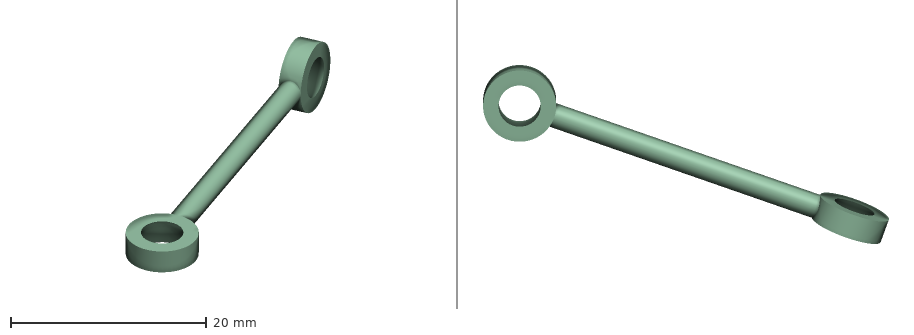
import cadquery as cq

overall_length = 43.5
eye_diameter = 7.5
eye_width = 2.5
rod_diameter = 2.5
ball_diameter = 5.0

centre_distance = overall_length - eye_diameter

rod_end_offset = (eye_diameter + ball_diameter) / 4
rod_length = centre_distance - 2 * rod_end_offset


def rod():
    """Round rod along Y, reaching into the wall of both eyes."""
    profile = cq.Workplane("XZ", origin=(0, rod_end_offset, 0)).circle(rod_diameter / 2)
    return profile.extrude(-rod_length)


def eye(plane):
    """Disc centred on the plane, opened right through by a spherical ball seat."""
    base = cq.Workplane(plane).workplane(offset=-eye_width / 2)
    disc = base.circle(eye_diameter / 2).extrude(eye_width)
    ball = cq.Workplane(plane).sphere(ball_diameter / 2)
    return disc.cut(ball)


near_plane = cq.Plane(origin=(0, 0, 0), xDir=(0, 1, 0), normal=(0, 0, 1))
far_plane = cq.Plane(origin=(0, centre_distance, 0), xDir=(0, -1, 0), normal=(1, 0, 0))

result = rod().union(eye(near_plane)).union(eye(far_plane))